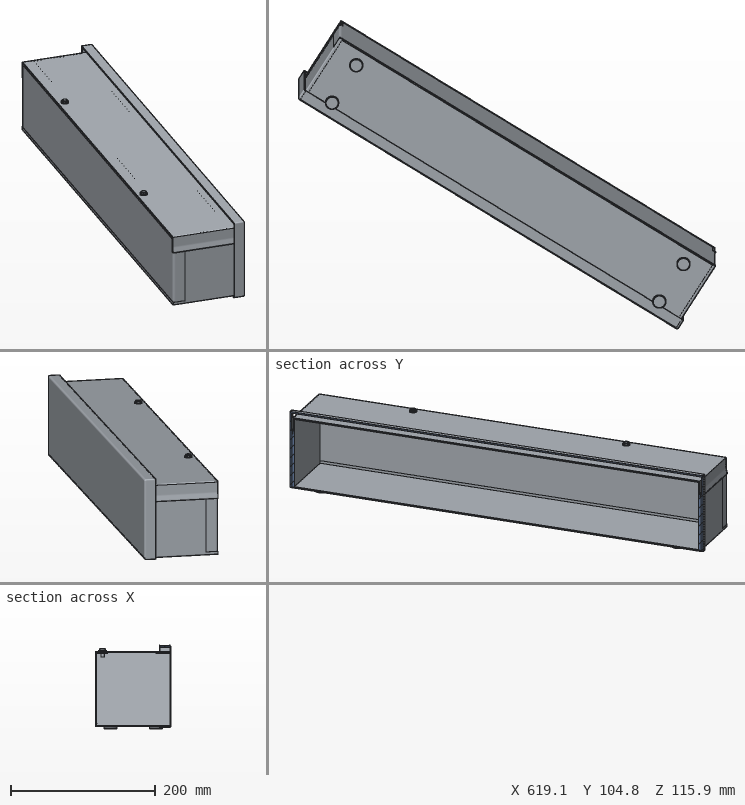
import cadquery as cq


LENGTH = 619.12
DEPTH = 104.76
HEIGHT = 115.9
SHEET = 1.5

LID_SKIRT = 16.0
LID_BOTTOM = 1.6
LID_BEND = 2.7
LID_CORNER = 1.8
HEM_SETBACK = 0.6

COVER_TOP = 107.2
COVER_BEND = 1.8
LIP_BOTTOM = 83.0
LIP_KNEE = 84.6
LIP_TOP = 91.0
LIP_BEND = 8.0
LIP_FLARE = 1.5
LIP_REACH = LENGTH / 2 - 2 * SHEET
COVER_HALF = LIP_REACH - LIP_FLARE
COVER_INNER = COVER_HALF - SHEET

TROUGH_BOTTOM = LID_BOTTOM + SHEET
TROUGH_TOP = COVER_TOP - SHEET
TROUGH_BACK = DEPTH - SHEET
TROUGH_BEND = 1.8
OPENING_FRONT = 16.5
OPENING_BACK = 84.0

PANEL_PROUD = 0.2
PANEL_BOTTOM = 7.8
PANEL_TOP = 103.0
PANEL_TOP_MARGIN = 2.1
PANEL_BEND = 3.4
TAB_DEPTH = 17.0
WALL_HALF = LIP_REACH - PANEL_PROUD

SCREW_X = 159.5
SCREW_Y = 9.9
WASHER_DIAMETER = 10.52
WASHER_THICKNESS = 1.3
HEAD_DIAMETER = 7.92
HEAD_HEIGHT = 2.6
HEAD_CHAMFER = 0.8
SHANK_DIAMETER = 4.83
SHANK_LENGTH = 8.0

FOOT_X = LENGTH / 2 - 42.7
FOOT_INSET = 20.9
FOOT_DIAMETER = 18.6
FOOT_CHAMFER = 1.0


def block(half_width, y_start, y_end, z_start, z_end):
    """Box centred on X = 0."""
    size = (2 * half_width, y_end - y_start, z_end - z_start)
    return cq.Workplane("XY").box(*size, centered=(True, False, False)).translate((0, y_start, z_start))


def symmetric_profile(right_half, y_start, y_end):
    """Extrude along Y an outline given by its +X half as (x, z) points."""
    left_half = [(-x, z) for x, z in reversed(right_half)]
    plane = cq.Workplane("XZ", origin=(0, y_start, 0))
    return plane.polyline(right_half + left_half).close().extrude(y_start - y_end)


def make_foot(x, y):
    """Round pad under the trough, chamfered at its tip."""
    pad = cq.Workplane("XY", origin=(x, y, 0)).circle(FOOT_DIAMETER / 2).extrude(TROUGH_BOTTOM)
    return pad.faces("<Z").chamfer(FOOT_CHAMFER)


def make_screw(x):
    """Washer-head screw standing on the cover."""
    washer = cq.Workplane("XY", origin=(x, SCREW_Y, COVER_TOP)).circle(WASHER_DIAMETER / 2)
    head = washer.extrude(WASHER_THICKNESS).faces(">Z").workplane().circle(HEAD_DIAMETER / 2)
    screw = head.extrude(HEAD_HEIGHT).faces(">Z").chamfer(HEAD_CHAMFER)
    return screw.faces("<Z").workplane().circle(SHANK_DIAMETER / 2).extrude(SHANK_LENGTH)


def make_lid():
    """Pan with rounded bends, hollow towards -Y, with a folded hem set back from the skirt edge."""
    half = LENGTH / 2
    front = DEPTH - LID_SKIRT
    hem_front = front + HEM_SETBACK
    back = DEPTH - SHEET
    floor = LID_BOTTOM + SHEET
    pan = block(half, front, DEPTH, LID_BOTTOM, HEIGHT)
    pan = pan.edges("|Y").fillet(LID_CORNER).faces(">Y").edges().fillet(LID_BEND)
    mouth = block(half - SHEET, front, hem_front, floor, HEIGHT - SHEET)
    hollow = block(half - 2 * SHEET, hem_front, back, floor, HEIGHT - 2 * SHEET)
    return pan.cut(mouth).cut(hollow)


def make_cover():
    """Channel over the top of the trough, with flared lips along both ends."""
    outline = [
        (COVER_HALF, COVER_TOP),
        (COVER_HALF, LIP_TOP),
        (LIP_REACH, LIP_KNEE),
        (LIP_REACH, LIP_BOTTOM),
        (LIP_REACH - SHEET, LIP_BOTTOM),
        (LIP_REACH - SHEET, LIP_KNEE),
        (COVER_INNER, LIP_TOP),
        (COVER_INNER, TROUGH_TOP),
    ]
    channel = symmetric_profile(outline, 0, TROUGH_BACK)
    channel = channel.edges("|Y and >Z").fillet(COVER_BEND)
    for x in (-COVER_HALF, COVER_HALF):
        bend_line = cq.NearestToPointSelector((x, TROUGH_BACK / 2, LIP_TOP))
        channel = channel.edges(bend_line).fillet(LIP_BEND)
    return channel


def make_trough():
    """Box open at the back and partly at the top, with the proud front panel and its tabs."""
    outline = [
        (COVER_INNER, TROUGH_TOP),
        (COVER_INNER, LIP_TOP),
        (LIP_REACH - SHEET, LIP_KNEE),
        (LIP_REACH - SHEET, LIP_BOTTOM),
        (WALL_HALF, LIP_BOTTOM),
        (WALL_HALF, TROUGH_BOTTOM),
    ]
    box = symmetric_profile(outline, PANEL_PROUD, TROUGH_BACK)
    box = box.edges("|Y and <Z").fillet(TROUGH_BEND)

    wrap = block(LIP_REACH, 0, TAB_DEPTH, PANEL_BOTTOM, LIP_BOTTOM)
    wrap = wrap.edges("|Z and <Y").fillet(PANEL_BEND)
    upper_panel = block(COVER_INNER - PANEL_TOP_MARGIN, 0, PANEL_PROUD, LIP_BOTTOM, PANEL_TOP)
    corner_trim = block(LIP_REACH, 0, PANEL_BEND, PANEL_BOTTOM, LIP_BOTTOM).cut(wrap)
    box = box.union(wrap).union(upper_panel).cut(corner_trim)

    wall = PANEL_PROUD + SHEET
    cavity_half = COVER_INNER - SHEET
    cavity = block(cavity_half, wall, TROUGH_BACK, TROUGH_BOTTOM + SHEET, TROUGH_TOP - SHEET)
    opening = block(cavity_half, OPENING_FRONT, OPENING_BACK, TROUGH_TOP - SHEET, TROUGH_TOP)
    return box.cut(cavity).cut(opening)


screws = [make_screw(x) for x in (-SCREW_X, SCREW_X)]
feet = [make_foot(x, y) for x in (-FOOT_X, FOOT_X) for y in (FOOT_INSET, DEPTH - FOOT_INSET)]
lid = make_lid()
cover = make_cover()
trough = make_trough()

for screw in screws:
    cover = cover.cut(screw)
    trough = trough.cut(screw)

for foot in feet:
    lid = lid.cut(foot)

result = cq.Compound.makeCompound(
    [trough.val(), cover.val(), lid.val()] + [body.val() for body in screws + feet]
)